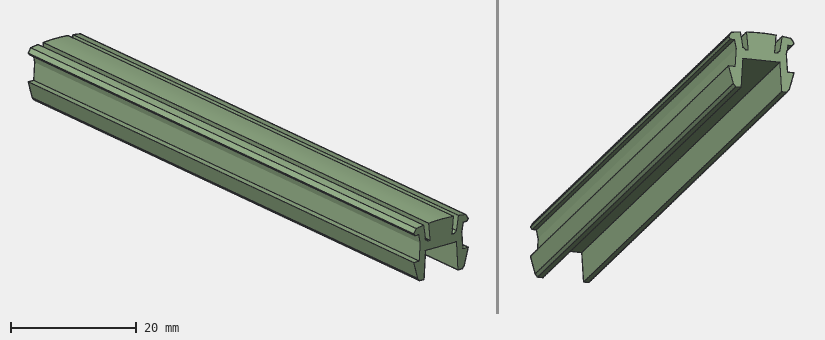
import cadquery as cq
import math

length = 100.0
width = 11.0
height = 9.5
tip_y = width / 2

crown_radius = 31.0

rib_top_y = 2.5
rib_base_y = 2.2
groove_floor_z = 6.4
groove_floor_y = 2.6
groove_corner_y = 3.1
groove_corner_z = 6.8

lip_inner_y = 3.5
lip_outer_y = 5.0
lip_tip_z = 8.3
lip_under_y = 5.2
lip_under_z = 7.9
lip_root_y = 4.5

waist_y = 4.2
waist_z = 6.4
wall_base_y = 4.4

barb_z = 3.4
barb_base_y = 4.7
barb_base_z = 0.5
foot_outer_y = 4.3
foot_inner_y = 3.4
channel_top_y = 3.1
channel_top_z = 4.9


def crown_z(y):
    """Height of the crown at a distance y from the middle plane."""
    return height - crown_radius + math.sqrt(crown_radius**2 - y**2)


def crown_point(y):
    return (y, crown_z(y))


def half_strip():
    """Half of the cross-section, on the +Y side, extruded along X."""
    lip_middle_y = (lip_inner_y + lip_outer_y) / 2
    profile = (
        cq.Workplane("YZ", origin=(-length / 2, 0, 0))
        .moveTo(0, channel_top_z)
        .lineTo(0, height)
        .threePointArc(crown_point(rib_top_y / 2), crown_point(rib_top_y))
        .lineTo(rib_base_y, groove_floor_z)
        .lineTo(groove_floor_y, groove_floor_z)
        .lineTo(groove_corner_y, groove_corner_z)
        .lineTo(*crown_point(lip_inner_y))
        .threePointArc(crown_point(lip_middle_y), crown_point(lip_outer_y))
        .lineTo(tip_y, lip_tip_z)
        .lineTo(lip_under_y, lip_under_z)
        .lineTo(lip_root_y, lip_under_z)
        .lineTo(waist_y, waist_z)
        .lineTo(wall_base_y, barb_z)
        .lineTo(tip_y, barb_z)
        .lineTo(barb_base_y, barb_base_z)
        .lineTo(foot_outer_y, 0)
        .lineTo(foot_inner_y, 0)
        .lineTo(channel_top_y, channel_top_z)
        .close()
    )
    return profile.extrude(length)


half = half_strip()
result = half.union(half.mirror("XZ"))